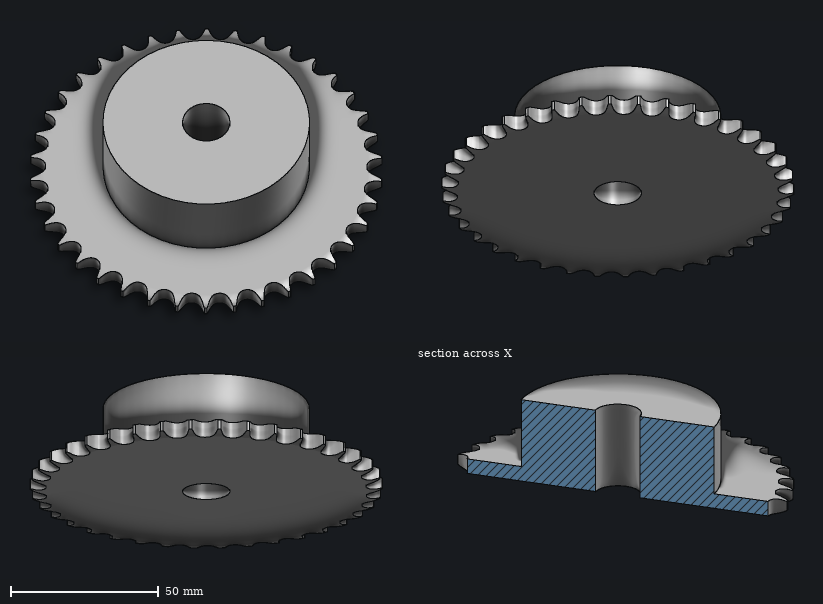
import cadquery as cq
import math

tooth_count = 38
pitch_diameter = 115.3
roller_diameter = 6.3
seat_clearance = 0.04
tip_radius = 59.8
plate_thickness = 5.5
flat_radius = 55.2
crown_radius = 10.0
hub_diameter = 70.0
total_height = 30.0
bore_diameter = 16.0

tooth_step = 2 * math.pi / tooth_count
pitch_radius = pitch_diameter / 2
seat_half_angle = math.radians(55 - 60 / tooth_count)
working_angle = math.radians(18 - 56 / tooth_count)
pressure_angle = math.radians(17 - 64 / tooth_count)
seat_radius = 0.5025 * roller_diameter + seat_clearance
working_radius = 1.3025 * roller_diameter + seat_clearance
straight_length = roller_diameter * (1.4 * math.sin(pressure_angle) - 0.8 * math.sin(working_angle))
topping_radius = (
    roller_diameter * (0.8 * math.cos(working_angle) + 1.4 * math.cos(pressure_angle) - 1.3025)
    - seat_clearance
)


def polar(radius, angle, center=(0, 0)):
    """Point at a radius and angle around a center."""
    return (center[0] + radius * math.cos(angle), center[1] + radius * math.sin(angle))


def half_gap():
    """Points from the bottom of a gap on the +X axis up its +Y side to the tooth tip."""
    seat_center = (pitch_radius, 0)
    seat_end_angle = math.pi - seat_half_angle
    working_end_angle = seat_end_angle - working_angle
    root = polar(seat_radius, math.pi, seat_center)
    seat_end = polar(seat_radius, seat_end_angle, seat_center)

    working_center = polar(-working_radius, seat_end_angle, seat_end)
    working_middle = polar(working_radius, seat_end_angle - working_angle / 2, working_center)
    working_end = polar(working_radius, working_end_angle, working_center)
    straight_end = polar(straight_length, working_end_angle - math.pi / 2, working_end)
    topping_center = polar(topping_radius, working_end_angle, straight_end)

    center_distance = math.hypot(*topping_center)
    center_angle = math.atan2(topping_center[1], topping_center[0])
    cosine = (tip_radius**2 + center_distance**2 - topping_radius**2) / (2 * tip_radius * center_distance)
    tip = polar(tip_radius, center_angle - math.acos(cosine))
    topping_start_angle = working_end_angle - math.pi
    topping_end_angle = math.atan2(tip[1] - topping_center[1], tip[0] - topping_center[0])
    topping_middle = polar(topping_radius, (topping_start_angle + topping_end_angle) / 2, topping_center)
    return [root, seat_end, working_middle, working_end, straight_end, topping_middle, tip]


def turned(points, angle):
    """Points rotated about the Z axis."""
    return [polar(math.hypot(x, y), math.atan2(y, x) + angle) for x, y in points]


def toothed_plate():
    """Flat plate with the full tooth outline, one tooth centered on +X."""
    side = half_gap()
    mirrored_side = [(x, -y) for x, y in side]

    outline = cq.Workplane("XY").moveTo(*turned(mirrored_side, tooth_step / 2)[-1])
    for index in range(tooth_count):
        gap_angle = (index + 0.5) * tooth_step
        root, seat_start, working_in, straight_in, straight_start, topping_in, _ = turned(
            mirrored_side, gap_angle
        )
        _, seat_end, working_out, straight_out, straight_end, topping_out, tip = turned(side, gap_angle)
        tip_middle = polar(tip_radius, gap_angle + tooth_step / 2)
        next_tip = turned(mirrored_side, gap_angle + tooth_step)[-1]
        outline = (
            outline
            .threePointArc(topping_in, straight_start)
            .lineTo(*straight_in)
            .threePointArc(working_in, seat_start)
            .threePointArc(root, seat_end)
            .threePointArc(working_out, straight_out)
            .lineTo(*straight_end)
            .threePointArc(topping_out, tip)
            .threePointArc(tip_middle, next_tip)
        )
    return outline.close().extrude(plate_thickness)


def crowned_disc():
    """Disc whose two faces curve towards each other outside the flat radius."""
    crown_width = tip_radius - flat_radius

    def crown_drop(width):
        return crown_radius - math.sqrt(crown_radius**2 - width**2)

    edge_drop = crown_drop(crown_width)
    middle_drop = crown_drop(crown_width / 2)
    middle_radius = flat_radius + crown_width / 2
    return (
        cq.Workplane("XZ")
        .lineTo(flat_radius, 0)
        .threePointArc((middle_radius, middle_drop), (tip_radius, edge_drop))
        .lineTo(tip_radius, plate_thickness - edge_drop)
        .threePointArc((middle_radius, plate_thickness - middle_drop), (flat_radius, plate_thickness))
        .lineTo(0, plate_thickness)
        .close()
        .revolve(360, (0, 0, 0), (0, 1, 0))
    )


sprocket = toothed_plate().intersect(crowned_disc())
hub = cq.Workplane("XY").circle(hub_diameter / 2).extrude(total_height)
bore = cq.Workplane("XY").circle(bore_diameter / 2).extrude(total_height)

result = sprocket.union(hub).cut(bore)